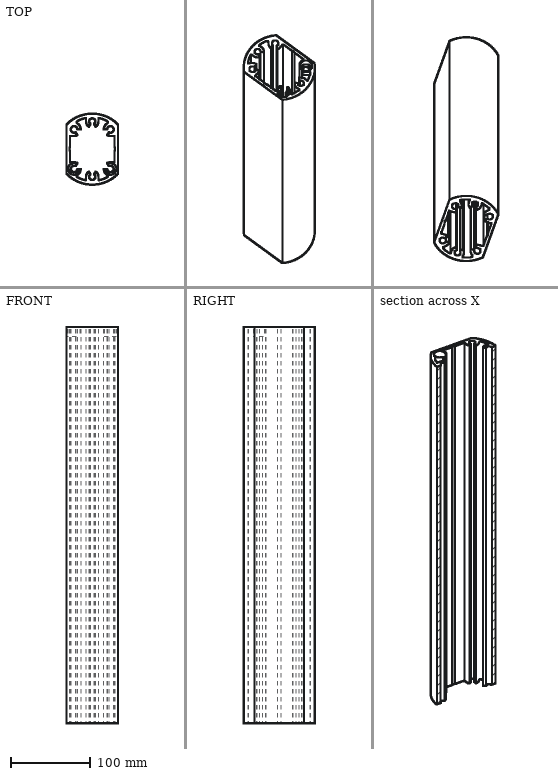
import cadquery as cq
import math

length = 500.0
width = 65.0
outer_radius = 45.0
round_wall = 5.0
flat_wall = 4.5

center_hole_radius = 3.75
corner_hole_radius = 4.0
center_opening_angle = 65.0
corner_opening_angle = 60.0
center_opening_direction = -90.0
corner_opening_direction = -30.0
center_port_radius = 8.0
center_port_y = 35.0
corner_port_radius = 8.5
corner_port_x = 22.9
corner_port_y = 24.9

counterbore_radius = 7.5
counterbore_depth = 12.0

pocket_corner_radius = 1.5

groove_width = 4.0
groove_depth = 0.5

inner_half_width = width / 2 - flat_wall
inner_radius = outer_radius - round_wall


def flatted_round(radius, half_width):
    """Full-length bar with round +/-Y sides and flat +/-X sides."""
    flat_end_y = math.sqrt(radius**2 - half_width**2)
    return (
        cq.Workplane("XY")
        .moveTo(half_width, -flat_end_y)
        .lineTo(half_width, flat_end_y)
        .threePointArc((0, radius), (-half_width, flat_end_y))
        .lineTo(-half_width, -flat_end_y)
        .threePointArc((0, -radius), (half_width, -flat_end_y))
        .close()
        .extrude(length)
    )


def rod(x, y, radius):
    """Full-length round bar."""
    return cq.Workplane("XY").center(x, y).circle(radius).extrude(length)


def port_cut(x, y, radius, hole_radius, opening_angle, opening_direction):
    """Screw hole plus the wedge that opens it towards the middle of the tube."""
    half_opening = opening_angle / 2
    reach = 2 * radius
    points = [(x, y)]
    for angle in (opening_direction - half_opening, opening_direction + half_opening):
        turn = math.radians(angle)
        points.append((x + reach * math.cos(turn), y + reach * math.sin(turn)))
    wedge = cq.Workplane("XY").polyline(points).close().extrude(length)
    return rod(x, y, hole_radius).union(wedge)


def center_port():
    """Stock and cut of the port in the middle of the +Y round side."""
    stem_height = inner_radius - center_port_y
    stem = (
        cq.Workplane("XY")
        .center(0, center_port_y + stem_height / 2)
        .rect(2 * center_port_radius, stem_height)
        .extrude(length)
    )
    stock = rod(0, center_port_y, center_port_radius).union(stem)
    cut = port_cut(
        0,
        center_port_y,
        center_port_radius,
        center_hole_radius,
        center_opening_angle,
        center_opening_direction,
    )
    return stock, cut


def corner_port():
    """Stock and cut of the port in the -X +Y corner, merged into both walls."""
    x, y, r = -corner_port_x, corner_port_y, corner_port_radius
    diagonal = r / math.sqrt(2)
    fill = (
        cq.Workplane("XY")
        .moveTo(x, y - r)
        .lineTo(x - r, y - r)
        .lineTo(x - r, y + r)
        .lineTo(x + diagonal - r, y + diagonal + r)
        .lineTo(x + diagonal, y + diagonal)
        .lineTo(x, y)
        .close()
        .extrude(length)
    )
    stock = rod(x, y, r).union(fill)
    cut = port_cut(x, y, r, corner_hole_radius, corner_opening_angle, corner_opening_direction)
    return stock, cut


def counterbores():
    """Round recesses sunk into the top end over the -Y corner ports."""
    return (
        cq.Workplane("XY", origin=(0, 0, length))
        .pushPoints([(-corner_port_x, -corner_port_y), (corner_port_x, -corner_port_y)])
        .circle(counterbore_radius)
        .extrude(-counterbore_depth)
    )


def all_around(solid, mirror_planes):
    """Solid joined with its mirror images in the given planes."""
    for plane in mirror_planes:
        solid = solid.union(solid.mirror(plane))
    return solid


def grooves():
    """One bar across the tube cuts the groove in both flat walls."""
    span = 2 * (inner_half_width + groove_depth)
    return cq.Workplane("XY").rect(span, groove_width).extrude(length)


def is_pocket_corner(edge):
    """True for an edge where the inner round wall meets a corner port."""
    center = edge.Center()
    on_round_wall = math.isclose(math.hypot(center.x, center.y), inner_radius, abs_tol=0.01)
    return on_round_wall and abs(center.x) > corner_port_x - corner_port_radius


outside = flatted_round(outer_radius, width / 2)
tube = outside.cut(flatted_round(inner_radius, inner_half_width))
center_stock, center_cut = center_port()
corner_stock, corner_cut = corner_port()
stock = all_around(center_stock, ["XZ"]).union(all_around(corner_stock, ["XZ", "YZ"]))
cuts = all_around(center_cut, ["XZ"]).union(all_around(corner_cut, ["XZ", "YZ"]))

body = tube.union(stock.intersect(outside)).cut(cuts)
body = body.edges("|Z").filter(is_pocket_corner).fillet(pocket_corner_radius)

result = body.cut(counterbores()).cut(grooves())